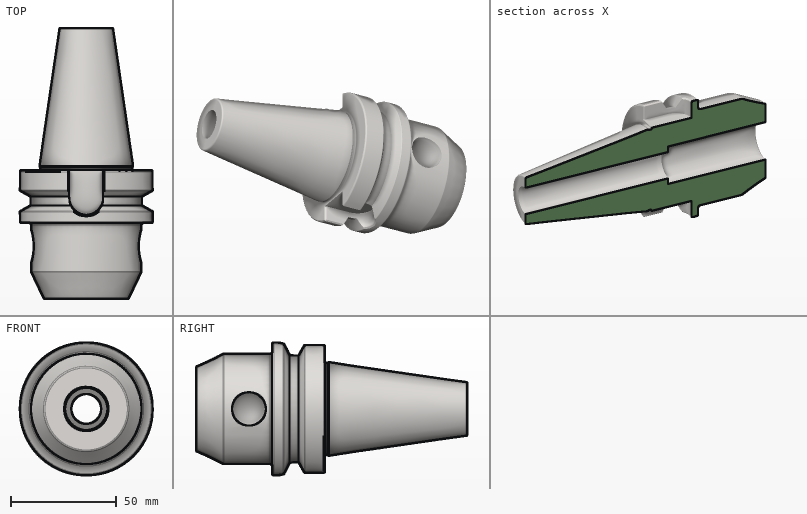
import cadquery as cq
import math


gauge_radius = 44.45 / 2
taper_ratio = 7 / 24
taper_length = 65.4
taper_end_radius = gauge_radius - taper_ratio * taper_length / 2
taper_end_round = 0.8

neck_radius = 21.8
neck_start_y = -0.8
neck_round = 0.7

flange_radius = 63 / 2
flange_back_y = -2.0
flange_front_y = -27.0
flange_round = 0.8
groove_center_y = -16.6
groove_floor_radius = 53.1 / 2
groove_floor_width = 4.2
groove_angle = 60
groove_depth = flange_radius - groove_floor_radius
groove_flank_run = groove_depth * math.tan(math.radians(groove_angle / 2))
groove_floor_back = groove_center_y + groove_floor_width / 2
groove_floor_front = groove_center_y - groove_floor_width / 2
groove_back = groove_floor_back + groove_flank_run
groove_front = groove_floor_front - groove_flank_run
groove_edge_round = 0.5

nose_front_y = -63.0
nose_radius = 52.3 / 2
nose_root_round = 1.0
cone_length = 12.9
cone_end_radius = 20.0
cone_edge_round = 0.8

bore_radius = 10.0
bore_depth = 52.0
bore_chamfer = 0.5
through_radius = 7.0

recess_radius = 8.0
recess_setback = 25.0
recess_y = nose_front_y + recess_setback

slot_width = 16.1
slot_floor_z = 22.6
slot_end_y = -23.15
slot_edge_chamfer = 0.7

tolerance = 0.01


def make_body():
    """Round the corners of the outer half section and revolve it about Y."""
    cone_start_y = nose_front_y + cone_length
    corners = [
        (0, nose_front_y, 0),
        (cone_end_radius, nose_front_y, cone_edge_round),
        (nose_radius, cone_start_y, cone_edge_round),
        (nose_radius, flange_front_y, nose_root_round),
        (flange_radius, flange_front_y, flange_round),
        (flange_radius, groove_front, 0),
        (groove_floor_radius, groove_floor_front, 0),
        (groove_floor_radius, groove_floor_back, 0),
        (flange_radius, groove_back, 0),
        (flange_radius, flange_back_y, flange_round),
        (neck_radius, flange_back_y, neck_round),
        (neck_radius, neck_start_y, 0),
        (gauge_radius, 0, 0),
        (taper_end_radius, taper_length, taper_end_round),
        (0, taper_length, 0),
    ]
    outline = cq.Wire.makePolygon([cq.Vector(radius, y) for radius, y, _ in corners], close=True)
    section = cq.Face.makeFromWires(outline)
    for radius, y, size in corners:
        if size > 0:
            section = section.fillet2D(size, [vertex_at(section, radius, y)])
    solid = cq.Solid.revolve(section, 360, cq.Vector(0, 0, 0), cq.Vector(0, 1, 0))
    return cq.Workplane("XY").add(solid)


def vertex_at(section, radius, y):
    """The corner of the section nearest to this radius and Y."""
    return min(section.Vertices(), key=lambda v: math.hypot(v.X - radius, v.Y - y))


def cut_slots(body):
    """Cut the round-ended drive slots, open toward the taper."""
    slot_radius = slot_width / 2
    arc_center_y = slot_end_y + slot_radius
    slot = (
        cq.Workplane("XY", origin=(0, 0, slot_floor_z))
        .moveTo(-slot_radius, 0)
        .lineTo(-slot_radius, arc_center_y)
        .threePointArc((0, slot_end_y), (slot_radius, arc_center_y))
        .lineTo(slot_radius, 0)
        .close()
        .extrude(flange_radius)
    )
    return body.cut(slot).cut(slot.mirror("XY"))


def chamfer_slots(body):
    """Chamfer the slot edges that lie on the outer cylinder of the flange."""
    rim = [edge for edge in body.edges().vals() if is_slot_rim(edge)]
    return body.newObject(rim).chamfer(slot_edge_chamfer)


def is_slot_rim(edge):
    """True for edges on the flange cylinder that run along Y or around a slot end."""
    samples = edge.positions([0, 0.5, 1])
    on_cylinder = all(abs(math.hypot(p.x, p.z) - flange_radius) < tolerance for p in samples)
    above_slot_floor = all(abs(p.z) > slot_floor_z for p in samples)
    leaves_flat_plane = max(p.y for p in samples) - min(p.y for p in samples) > tolerance
    return on_cylinder and above_slot_floor and leaves_flat_plane


def round_groove_edges(body):
    """Round the outer edges of the V groove, which the slots have cut into arcs."""
    edges = [edge for edge in body.edges("%CIRCLE").vals() if is_groove_edge(edge)]
    return body.newObject(edges).fillet(groove_edge_round)


def is_groove_edge(edge):
    """True for arcs where a groove flank meets the flange cylinder."""
    y = edge.Center().y
    at_groove_edge = min(abs(y - groove_back), abs(y - groove_front)) < tolerance
    return at_groove_edge and abs(edge.radius() - flange_radius) < tolerance


def cut_bore(body):
    """Cut the chamfered clamping bore and the narrower hole behind it."""
    bore_floor_y = nose_front_y + bore_depth
    bore_profile = [
        (0, nose_front_y),
        (bore_radius + bore_chamfer, nose_front_y),
        (bore_radius, nose_front_y + bore_chamfer),
        (bore_radius, bore_floor_y),
        (through_radius, bore_floor_y),
        (through_radius, taper_length),
        (0, taper_length),
    ]
    bore = cq.Workplane("XY").polyline(bore_profile).close().revolve(360, (0, 0), (0, 1))
    return body.cut(bore)


def cut_recesses(body):
    """Cut a ball centered on the nose surface out of each X side."""
    for side in (-1, 1):
        ball = cq.Workplane("XY").sphere(recess_radius)
        body = body.cut(ball.translate((side * nose_radius, recess_y, 0)))
    return body


body = make_body()
body = cut_slots(body)
body = chamfer_slots(body)
body = round_groove_edges(body)
body = cut_bore(body)
result = cut_recesses(body)